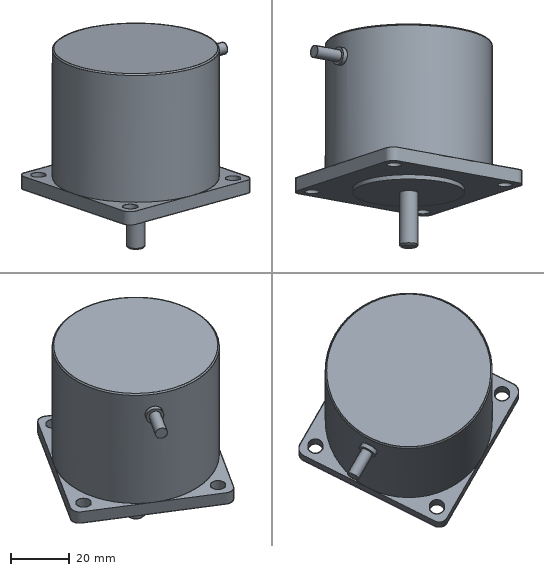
import cadquery as cq

flange_side = 57.15
flange_thickness = 4.8
flange_corner_radius = 3.15
bolt_spacing = 47.15
bolt_hole_diameter = 5.2

body_diameter = flange_side
body_height = 46.1
body_edge_chamfer = 0.5

pilot_diameter = 38.15
pilot_height = 1.6
shaft_diameter = 6.35
shaft_length = 19.0
shaft_tip_chamfer = 0.6

cable_drop = 8.65
cable_reach = 40.3
cable_diameter = 4.2
grommet_diameter = 6.15
grommet_projection = 1.6

pilot_bottom = shaft_length
flange_bottom = pilot_bottom + pilot_height
flange_top = flange_bottom + flange_thickness
body_top = flange_top + body_height
cable_height = body_top - cable_drop


def upright_cylinder(diameter, bottom, top):
    """Cylinder on the motor axis between two levels."""
    return cq.Workplane("XY").workplane(offset=bottom).circle(diameter / 2).extrude(top - bottom)


def outlet_cylinder(diameter, reach):
    """Cylinder from the motor axis out to +Y at the cable height."""
    return (
        cq.Workplane("XZ", origin=(0, 0, cable_height))
        .circle(diameter / 2)
        .extrude(-reach)
    )


flange = (
    cq.Workplane("XY")
    .workplane(offset=flange_bottom)
    .rect(flange_side, flange_side)
    .extrude(flange_thickness)
    .edges("|Z")
    .fillet(flange_corner_radius)
    .faces(">Z")
    .workplane()
    .rect(bolt_spacing, bolt_spacing, forConstruction=True)
    .vertices()
    .hole(bolt_hole_diameter)
)

body = upright_cylinder(body_diameter, flange_top, body_top).faces(">Z").edges().chamfer(body_edge_chamfer)

pilot = upright_cylinder(pilot_diameter, pilot_bottom, flange_bottom)

shaft = upright_cylinder(shaft_diameter, 0, pilot_bottom).faces("<Z").edges().chamfer(shaft_tip_chamfer)

grommet = outlet_cylinder(grommet_diameter, body_diameter / 2 + grommet_projection)
cable = outlet_cylinder(cable_diameter, cable_reach)

result = flange.union(body).union(pilot).union(shaft).union(grommet).union(cable)